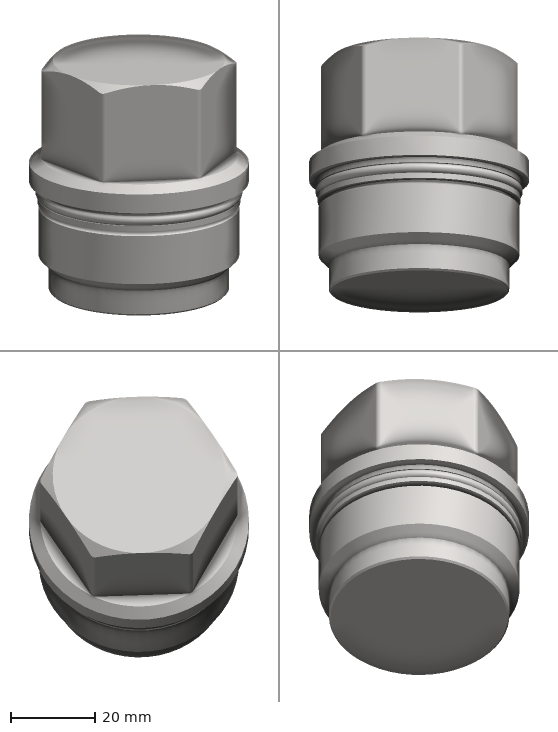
import cadquery as cq
import math

total_height = 57.1
nose_top = 6.35
barrel_bottom = 8.7
barrel_top = 20.6
relief_bottom = 21.5
relief_top = 21.9
seal_height = 24.45
flange_bottom = 27.0
flange_edge_top = 31.7
flange_top = 33.4

nose_radius = 21.5
nose_chamfer = 0.45
barrel_radius = 23.9
relief_radius = 22.4
land_radius = 24.15
flange_radius = 26.15
flange_top_radius = 23.5

ring_outer_radius = 24.7
ring_section_radius = 1.25
ring_center_radius = ring_outer_radius - ring_section_radius
groove_floor_radius = ring_center_radius - ring_section_radius
groove_bottom = seal_height - ring_section_radius
groove_top = seal_height + ring_section_radius

across_flats = 41.0
corner_diameter = across_flats / math.cos(math.pi / 6)
hex_edge_radius = 1.5
head_chamfer_angle = 30.0


def make_turned_body():
    """Revolve the nose, barrel, seal land and flange."""
    profile = [
        (0, 0),
        (nose_radius - nose_chamfer, 0),
        (nose_radius, nose_chamfer),
        (nose_radius, nose_top),
        (barrel_radius, barrel_bottom),
        (barrel_radius, barrel_top),
        (relief_radius, relief_bottom),
        (relief_radius, relief_top),
        (land_radius, relief_top),
        (land_radius, groove_bottom),
        (groove_floor_radius, groove_bottom),
        (groove_floor_radius, groove_top),
        (land_radius, groove_top),
        (land_radius, flange_bottom),
        (flange_radius, flange_bottom),
        (flange_radius, flange_edge_top),
        (flange_top_radius, flange_top),
        (0, flange_top),
    ]
    return cq.Workplane("XZ").polyline(profile).close().revolve(360, (0, 0), (0, 1))


def make_hex_head():
    """Hexagon with corners on the Y axis, rounded edges and a conical top chamfer."""
    head = (
        cq.Workplane("XY")
        .workplane(offset=flange_top)
        .transformed(rotate=(0, 0, 90))
        .polygon(6, corner_diameter)
        .extrude(total_height - flange_top)
        .edges("|Z")
        .fillet(hex_edge_radius)
    )
    top_radius = across_flats / 2
    outer_radius = corner_diameter / 2
    cone_drop = (outer_radius - top_radius) * math.tan(math.radians(head_chamfer_angle))
    chamfer_envelope = (
        cq.Workplane("XZ")
        .polyline([
            (0, flange_top),
            (outer_radius, flange_top),
            (outer_radius, total_height - cone_drop),
            (top_radius, total_height),
            (0, total_height),
        ])
        .close()
        .revolve(360, (0, 0), (0, 1))
    )
    return head.intersect(chamfer_envelope)


def make_sealing_ring():
    """Round-section ring seated in the groove."""
    return (
        cq.Workplane("XZ")
        .center(ring_center_radius, seal_height)
        .circle(ring_section_radius)
        .revolve(360, (-ring_center_radius, 0), (-ring_center_radius, 1))
    )


plug = make_turned_body().union(make_hex_head())
sealing_ring = make_sealing_ring()

result = cq.Compound.makeCompound([plug.solids().val(), sealing_ring.val()])